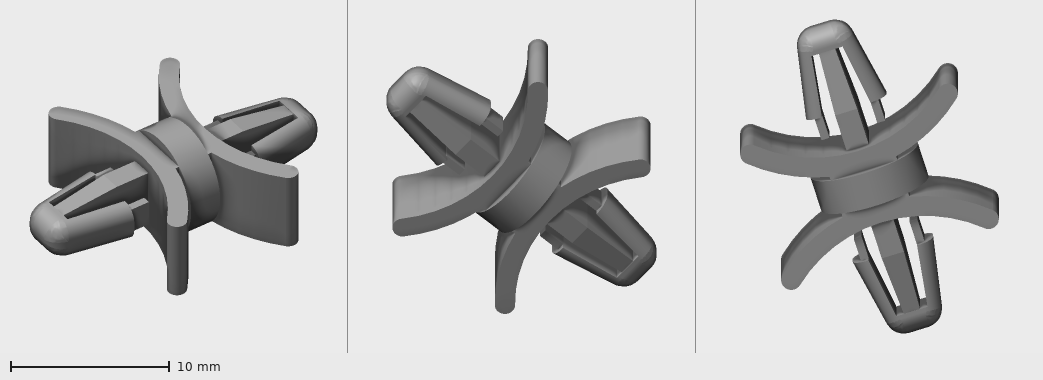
import cadquery as cq
import math

TIP_Y = 10.345

DISC_DIAMETER = 7.1
DISC_HALF_THICKNESS = 1.11

SPAN_X = 14.3
BLADE_HEIGHT = 5.55
BLADE_THICKNESS = 1.28
BLADE_ROOT_Y = 2.42
BLADE_END_Y = 4.26
NECK_HALF_WIDTH = 2.2

SHOULDER_Y = 4.85
SHOULDER_HALF_WIDTH = 2.65
PLUG_TIP_HALF_WIDTH = 1.62
PLUG_HEIGHT = 2.7
PLUG_CORNER_RADIUS = 1.0
NOSE_RADIUS = 1.27

SLOT_END_Y = 8.83
SLOT_MOUTH_HALF_WIDTH = 1.6
SLOT_END_HALF_WIDTH = 1.03

LEG_THICKNESS = 0.52
LEG_OUTER_X = 2.1
LEG_LENGTH = 1.5
LEG_HEIGHT = 1.8

POST_WIDTH = 1.46
POST_HEIGHT = 3.81
POST_END_WIDTH = 1.07
POST_END_HEIGHT = 2.6

OVERLAP = 0.2


def block(width, y_start, y_end, height, x_centre=0):
    """Box that is centred on Z and runs along Y between two stations."""
    box = cq.Workplane("XY").box(width, y_end - y_start, height)
    return box.translate((x_centre, (y_start + y_end) / 2, 0))


def trapezoid(half_start, y_start, half_end, y_end, height):
    """Prism, symmetric about X = 0, whose width changes along Y."""
    outline = [
        (-half_start, y_start),
        (half_start, y_start),
        (half_end, y_end),
        (-half_end, y_end),
    ]
    return cq.Workplane("XY").polyline(outline).close().extrude(height / 2, both=True)


def make_disc():
    start_face = cq.Workplane("XZ", origin=(0, DISC_HALF_THICKNESS, 0))
    return start_face.circle(DISC_DIAMETER / 2).extrude(2 * DISC_HALF_THICKNESS)


def make_blade():
    """Concentric arcs closed by round ends, concave toward +Y."""
    end_radius = BLADE_THICKNESS / 2
    end_x = SPAN_X / 2 - end_radius
    mid_root_y = BLADE_ROOT_Y - end_radius
    rise = BLADE_END_Y - mid_root_y
    mid_radius = (end_x**2 + rise**2) / (2 * rise)
    centre_y = mid_root_y + mid_radius
    half_angle = math.asin(end_x / mid_radius)

    def on_arc(radius, angle):
        return (radius * math.sin(angle), centre_y - radius * math.cos(angle))

    def round_end(side):
        return (
            side * (end_x + end_radius * math.cos(half_angle)),
            BLADE_END_Y + end_radius * math.sin(half_angle),
        )

    inner = mid_radius - end_radius
    outer = mid_radius + end_radius
    profile = (
        cq.Workplane("XY")
        .moveTo(*on_arc(inner, -half_angle))
        .threePointArc(on_arc(inner, 0), on_arc(inner, half_angle))
        .threePointArc(round_end(1), on_arc(outer, half_angle))
        .threePointArc(on_arc(outer, 0), on_arc(outer, -half_angle))
        .threePointArc(round_end(-1), on_arc(inner, -half_angle))
        .close()
    )
    return profile.extrude(BLADE_HEIGHT / 2, both=True)


def make_neck():
    """Block from inside the disc to inside the blade."""
    neck_end_y = BLADE_ROOT_Y - BLADE_THICKNESS / 2
    return block(2 * NECK_HALF_WIDTH, DISC_HALF_THICKNESS - OVERLAP, neck_end_y, BLADE_HEIGHT)


def make_barbs():
    """Tapered plug with a round nose, slotted into two barbs that carry legs."""
    plug = trapezoid(SHOULDER_HALF_WIDTH, SHOULDER_Y, PLUG_TIP_HALF_WIDTH, TIP_Y, PLUG_HEIGHT)
    plug = plug.faces(">Y").edges().fillet(NOSE_RADIUS)
    between = cq.selectors.BoxSelector(
        (-SPAN_X, SHOULDER_Y + OVERLAP, -PLUG_HEIGHT),
        (SPAN_X, SLOT_END_Y, PLUG_HEIGHT),
    )
    plug = plug.edges(between).fillet(PLUG_CORNER_RADIUS)
    slot = trapezoid(
        SLOT_MOUTH_HALF_WIDTH, SHOULDER_Y, SLOT_END_HALF_WIDTH, SLOT_END_Y, PLUG_HEIGHT
    )
    barbs = plug.cut(slot)
    for side in (-1, 1):
        leg_x = side * (LEG_OUTER_X - LEG_THICKNESS / 2)
        leg = block(LEG_THICKNESS, SHOULDER_Y - LEG_LENGTH, SHOULDER_Y, LEG_HEIGHT, leg_x)
        barbs = barbs.union(leg)
    return barbs


def make_post():
    straight = block(POST_WIDTH, BLADE_ROOT_Y - OVERLAP, SHOULDER_Y, POST_HEIGHT)
    tapered = (
        cq.Workplane("XZ", origin=(0, SHOULDER_Y, 0))
        .rect(POST_WIDTH, POST_HEIGHT)
        .workplane(offset=SHOULDER_Y - SLOT_END_Y)
        .rect(POST_END_WIDTH, POST_END_HEIGHT)
        .loft(ruled=True)
    )
    return straight.union(tapered)


def make_clip():
    """Everything on the +Y side of the disc."""
    return make_blade().union(make_neck()).union(make_post()).union(make_barbs())


clip = make_clip()
result = make_disc().union(clip).union(clip.mirror("XZ"))